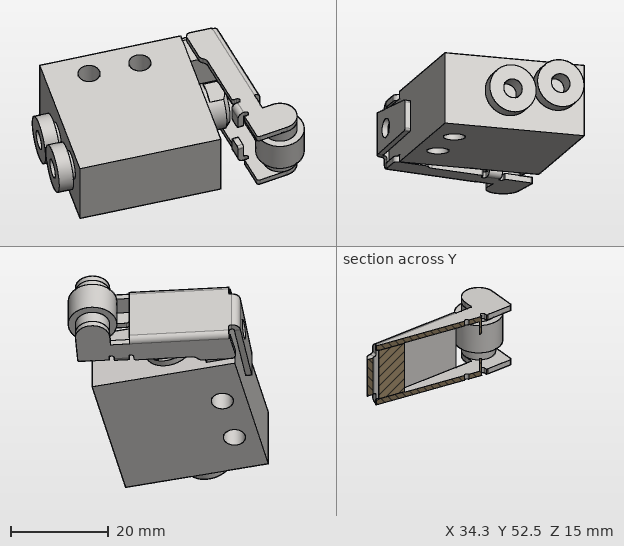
import cadquery as cq
import math

BLOCK_SIDE = 30.0
BLOCK_THICKNESS = 15.0
MOUNT_HOLE_DIAMETER = 4.5
MOUNT_HOLE_X = 5.0
MOUNT_HOLE_YS = (9.1, 19.9)

FITTING_CENTRES_XZ = ((13.3, 0.0), (23.6, 2.05))
FLANGE_RADIUS = 5.0
FLANGE_THICKNESS = 3.05
NECK_RADIUS = 3.0
NECK_LENGTH = 0.95
PORT_DIAMETER = 4.0
FITTING_LENGTH = FLANGE_THICKNESS + NECK_LENGTH

PLUNGER_X = 13.95
PLUNGER_RADIUS = 5.0
PLUNGER_HEIGHT = 5.4
PLUNGER_CHAMFER = 1.0
FLAT_DISTANCE = 4.25
FLAT_START = 1.45
BOSS_LENGTH = 6.0
BOSS_HEIGHT = 6.75

LEVER_TILT = 9
LEVER_X = -0.65
LEVER_Y = 36.8
SHEET = 1.25
CHANNEL_HALF_GAP = 5.95
CHANNEL_HALF_WIDTH = CHANNEL_HALF_GAP + SHEET
WEB_START_U = 0.2
WEB_END_U = 20.6

ARM_DEPTH_PIVOT = 5.75
ARM_DEPTH_MIDDLE = 4.7
ARM_DEPTH_TIP = 4.35
STEP_START_U = 6.0
STEP_END_U = 8.15
PIVOT_CORNER_RADIUS = 1.0
ARM_CORNER_RADIUS = 0.45
NOTCH_WIDTH = 1.0
NOTCH_TOP_V = -3.25
NOTCH_US = (20.55, 24.6)
ROLLER_U = 28.05
ROLLER_V = 2.3
HEAD_RADIUS = 3.5

TAB_BEND_V = -4.05
TAB_LENGTH = 3.05
TAB_CORNER_RADIUS = 0.5

FINGER_BEND_ANGLE = 85
FINGER_BEND_U = -0.35
FINGER_BEND_RADIUS = 0.45
FINGER_ROOT_HALF_WIDTH = 4.45
FINGER_ROOT_FILLET = 0.5
FINGER_LENGTH = 14.8
FINGER_TIP_HALF_WIDTH = 3.25
FINGER_CORNER_RADIUS = 0.5
FINGER_HOLE_DIAMETER = 4.0
FINGER_HOLE_DISTANCE = 4.35

ROLLER_RADIUS = 5.0
ROLLER_HALF_WIDTH = 3.3


def placed_in_lever_frame(shape):
    return shape.rotate((0, 0, 0), (0, 0, 1), LEVER_TILT).translate((LEVER_X, LEVER_Y, 0))


def symmetric_extrusion(outline, half_width):
    return outline.extrude(2 * half_width).translate((0, 0, -half_width))


def make_fitting(x, z):
    front = cq.Workplane("XZ", origin=(x, 0, z))
    neck = front.circle(NECK_RADIUS).extrude(NECK_LENGTH)
    flange = front.workplane(offset=NECK_LENGTH).circle(FLANGE_RADIUS).extrude(FLANGE_THICKNESS)
    port = front.circle(PORT_DIAMETER / 2).extrude(FITTING_LENGTH)
    return neck.union(flange).cut(port)


def make_plunger():
    plunger = (
        cq.Workplane("XZ", origin=(PLUNGER_X, BLOCK_SIDE, 0))
        .circle(PLUNGER_RADIUS)
        .extrude(-PLUNGER_HEIGHT)
        .faces(">Y")
        .chamfer(PLUNGER_CHAMFER)
    )
    for side in (-1, 1):
        cutter_z = side * (FLAT_DISTANCE + PLUNGER_RADIUS / 2)
        flat_cutter = (
            cq.Workplane("XY")
            .box(2 * PLUNGER_RADIUS, PLUNGER_HEIGHT, PLUNGER_RADIUS, centered=(True, False, True))
            .translate((PLUNGER_X, BLOCK_SIDE + FLAT_START, cutter_z))
        )
        plunger = plunger.cut(flat_cutter)
    return plunger


def make_valve():
    block = cq.Workplane("XY").box(
        BLOCK_SIDE, BLOCK_SIDE, BLOCK_THICKNESS, centered=(False, False, True)
    )
    mount_holes = symmetric_extrusion(
        cq.Workplane("XY")
        .pushPoints([(MOUNT_HOLE_X, y) for y in MOUNT_HOLE_YS])
        .circle(MOUNT_HOLE_DIAMETER / 2),
        BLOCK_THICKNESS,
    )
    boss = (
        cq.Workplane("XY")
        .box(BOSS_LENGTH, BOSS_HEIGHT, 2 * CHANNEL_HALF_GAP, centered=(False, False, True))
        .translate((0, BLOCK_SIDE, 0))
    )
    valve = block.cut(mount_holes).union(boss).union(make_plunger())
    for x, z in FITTING_CENTRES_XZ:
        valve = valve.union(make_fitting(x, z))
    return valve


def make_arm_blank():
    """Flat arm with its head, as thick as the sheet, without the notches."""
    tab_left, tab_right = NOTCH_US
    tip_u = ROLLER_U + HEAD_RADIUS
    head_start_u = ROLLER_U - HEAD_RADIUS
    step_middle = ((STEP_START_U + STEP_END_U) / 2, -(ARM_DEPTH_PIVOT + ARM_DEPTH_MIDDLE) / 2)
    pivot_end_slant = ARM_DEPTH_PIVOT * math.tan(math.radians(LEVER_TILT))
    pivot_corner = (-pivot_end_slant, -ARM_DEPTH_PIVOT)
    tip_corner = (tip_u, -ARM_DEPTH_TIP)
    notch_corner = (tab_left - NOTCH_WIDTH / 2, -ARM_DEPTH_MIDDLE)

    arm = (
        cq.Workplane("XY")
        .moveTo(0, 0)
        .lineTo(*pivot_corner)
        .lineTo(STEP_START_U, -ARM_DEPTH_PIVOT)
        .tangentArcPoint(step_middle, relative=False)
        .tangentArcPoint((STEP_END_U, -ARM_DEPTH_MIDDLE), relative=False)
        .lineTo(*notch_corner)
        .lineTo(notch_corner[0], TAB_BEND_V)
        .lineTo(tab_right, TAB_BEND_V)
        .lineTo(tab_right, -ARM_DEPTH_TIP)
        .lineTo(*tip_corner)
        .lineTo(tip_u, ROLLER_V)
        .threePointArc((ROLLER_U, ROLLER_V + HEAD_RADIUS), (head_start_u, ROLLER_V))
        .lineTo(head_start_u, 0)
        .close()
        .extrude(SHEET)
    )
    rounded_corners = (
        (pivot_corner, PIVOT_CORNER_RADIUS),
        (notch_corner, ARM_CORNER_RADIUS),
        (tip_corner, ARM_CORNER_RADIUS),
    )
    for corner, radius in rounded_corners:
        nearest = cq.selectors.NearestToPointSelector((*corner, SHEET / 2))
        arm = arm.edges("|Z").edges(nearest).fillet(radius)
    return arm


def make_notches():
    """Round-topped cutters for the two notches beside a tab."""
    notch_radius = NOTCH_WIDTH / 2
    round_v = NOTCH_TOP_V - notch_radius
    bottom_v = -ARM_DEPTH_PIVOT
    round_tops = (
        cq.Workplane("XY")
        .pushPoints([(u, round_v) for u in NOTCH_US])
        .circle(notch_radius)
        .extrude(SHEET)
    )
    slots = (
        cq.Workplane("XY")
        .pushPoints([(u, (round_v + bottom_v) / 2) for u in NOTCH_US])
        .rect(NOTCH_WIDTH, round_v - bottom_v)
        .extrude(SHEET)
    )
    return round_tops.union(slots)


def make_tab():
    """Sharp inner bend and a flat tongue that reaches in towards the other arm."""
    start_u = NOTCH_US[0] + NOTCH_WIDTH / 2
    width = NOTCH_US[1] - NOTCH_US[0] - NOTCH_WIDTH
    outer_v = TAB_BEND_V - SHEET
    bend = (
        cq.Workplane("YZ", origin=(start_u, 0, 0))
        .moveTo(TAB_BEND_V, 0)
        .lineTo(TAB_BEND_V, SHEET)
        .radiusArc((outer_v, 0), -SHEET)
        .close()
        .extrude(width)
    )
    tongue = (
        cq.Workplane("XY")
        .box(width, SHEET, TAB_LENGTH, centered=False)
        .translate((start_u, outer_v, -TAB_LENGTH))
        .edges("|Y and <Z")
        .fillet(TAB_CORNER_RADIUS)
    )
    return bend.union(tongue)


def make_arm():
    arm = make_arm_blank().cut(make_notches()).union(make_tab())
    return arm.translate((0, 0, CHANNEL_HALF_GAP))


def make_web():
    """Web whose rounded outer edges run into the outer faces of the arms."""
    return (
        cq.Workplane("YZ", origin=(WEB_START_U, 0, 0))
        .moveTo(0, -CHANNEL_HALF_WIDTH)
        .radiusArc((SHEET, -CHANNEL_HALF_GAP), -SHEET)
        .lineTo(SHEET, CHANNEL_HALF_GAP)
        .radiusArc((0, CHANNEL_HALF_WIDTH), -SHEET)
        .close()
        .extrude(WEB_END_U - WEB_START_U)
    )


def make_finger_bend():
    """Neck that leaves the web and turns down through the finger bend."""
    centre_v = -FINGER_BEND_RADIUS
    outer_radius = FINGER_BEND_RADIUS + SHEET

    def bend_point(radius, turned):
        angle = math.radians(90 + turned)
        return (FINGER_BEND_U + radius * math.cos(angle), centre_v + radius * math.sin(angle))

    half_turn = FINGER_BEND_ANGLE / 2
    outline = (
        cq.Workplane("XY")
        .moveTo(SHEET, SHEET)
        .lineTo(*bend_point(outer_radius, 0))
        .threePointArc(
            bend_point(outer_radius, half_turn), bend_point(outer_radius, FINGER_BEND_ANGLE)
        )
        .lineTo(*bend_point(FINGER_BEND_RADIUS, FINGER_BEND_ANGLE))
        .threePointArc(bend_point(FINGER_BEND_RADIUS, half_turn), bend_point(FINGER_BEND_RADIUS, 0))
        .lineTo(SHEET, 0)
        .close()
    )
    return symmetric_extrusion(outline, FINGER_ROOT_HALF_WIDTH)


def make_finger():
    """Flat tapered finger with a round hole, starting where the bend ends."""
    end_angle = math.radians(90 + FINGER_BEND_ANGLE)
    outward = (math.cos(end_angle), math.sin(end_angle), 0)
    along = (-math.sin(end_angle), math.cos(end_angle), 0)
    start = (
        FINGER_BEND_U + FINGER_BEND_RADIUS * outward[0],
        -FINGER_BEND_RADIUS + FINGER_BEND_RADIUS * outward[1],
        0,
    )
    inner_face = cq.Plane(origin=start, xDir=along, normal=outward)
    finger = (
        cq.Workplane(inner_face)
        .polyline(
            [
                (0, -FINGER_ROOT_HALF_WIDTH),
                (FINGER_LENGTH, -FINGER_TIP_HALF_WIDTH),
                (FINGER_LENGTH, FINGER_TIP_HALF_WIDTH),
                (0, FINGER_ROOT_HALF_WIDTH),
            ]
        )
        .close()
        .extrude(SHEET)
    )
    for side in (-1, 1):
        corner = inner_face.toWorldCoords((FINGER_LENGTH, side * FINGER_TIP_HALF_WIDTH, SHEET / 2))
        nearest = cq.selectors.NearestToPointSelector(corner)
        finger = finger.edges(nearest).fillet(FINGER_CORNER_RADIUS)
    hole = (
        cq.Workplane(inner_face)
        .center(FINGER_HOLE_DISTANCE, 0)
        .circle(FINGER_HOLE_DIAMETER / 2)
        .extrude(SHEET)
    )
    return finger.cut(hole)


def make_lever():
    web = make_web().union(make_finger_bend())
    for side in (-1, 1):
        root_corner = (WEB_START_U, SHEET / 2, side * FINGER_ROOT_HALF_WIDTH)
        nearest = cq.selectors.NearestToPointSelector(root_corner)
        web = web.edges(nearest).fillet(FINGER_ROOT_FILLET)
    arm = make_arm()
    lever = web.union(arm).union(arm.mirror("XY")).union(make_finger())
    return placed_in_lever_frame(lever)


def make_roller():
    axis = cq.Workplane("XY").center(ROLLER_U, ROLLER_V)
    hubs = symmetric_extrusion(axis.circle(HEAD_RADIUS), CHANNEL_HALF_GAP)
    wheel = symmetric_extrusion(axis.circle(ROLLER_RADIUS), ROLLER_HALF_WIDTH)
    return placed_in_lever_frame(hubs.union(wheel))


valve = make_valve()
lever = make_lever()
roller = make_roller()
result = cq.Compound.makeCompound([body.solids().val() for body in (valve, lever, roller)])